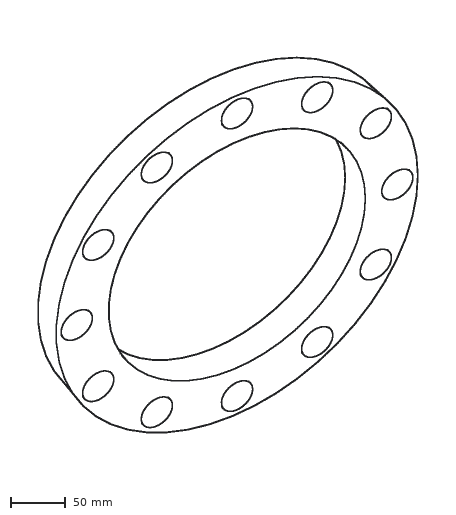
import cadquery as cq

outer_diameter = 395.0
face_diameter = 391.0
bore_diameter = 280.0
thickness = 34.0

hole_count = 12
hole_diameter = 34.0
bolt_circle_diameter = 350.0


def tapered_ring():
    """Ring centred on the origin, with a conical rim that widens toward +X."""
    half_thickness = thickness / 2
    bore_radius = bore_diameter / 2
    section = (
        cq.Workplane("XY")
        .moveTo(-half_thickness, bore_radius)
        .lineTo(-half_thickness, face_diameter / 2)
        .lineTo(half_thickness, outer_diameter / 2)
        .lineTo(half_thickness, bore_radius)
        .close()
    )
    return section.revolve(360, (0, 0, 0), (1, 0, 0))


def bolt_holes():
    """Through-hole cutters, the first one on the Y axis."""
    return (
        cq.Workplane("YZ")
        .polarArray(bolt_circle_diameter / 2, 0, 360, hole_count)
        .circle(hole_diameter / 2)
        .extrude(thickness, both=True)
    )


result = tapered_ring().cut(bolt_holes())